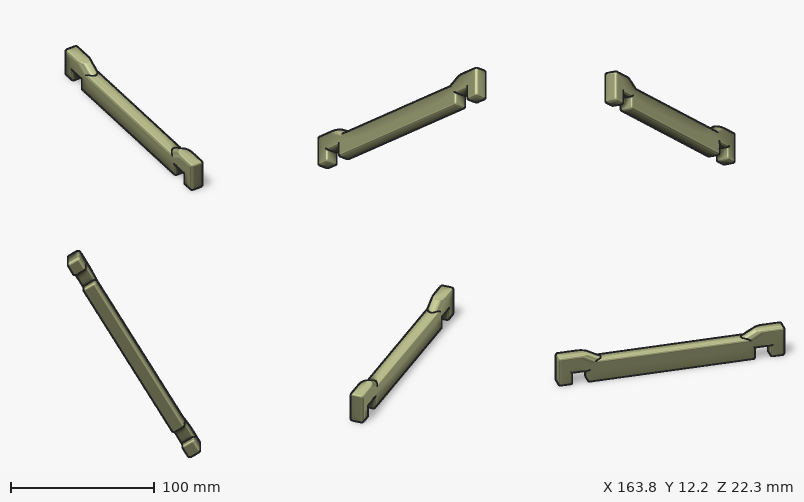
import cadquery as cq
import math

overall_length = 163.8
width = 10.2
height = 22.3
tilt = 0.7

grip_height = 16.9
edge_radius = 2.0

left_crest_length = 22.1
right_crest_length = 20.8
ramp_angle = 29.0

leg_length = 10.2
notch_length = 11.3
notch_depth = 9.2
notch_radius = 1.3

tilt_angle = math.radians(tilt)
flat_span = overall_length - 2 * edge_radius
flat_width = width - 2 * edge_radius
length = 2 * edge_radius + (flat_span - flat_width * math.sin(tilt_angle)) / math.cos(tilt_angle)
half_length = length / 2
tolerance = 0.02


def ramp_envelope(crest_length):
    """Half-round topped prism sloping down toward +X over the left end."""
    radius = width / 2
    depth = 2 * height
    angle = math.radians(ramp_angle)
    crest = cq.Vector(-half_length + crest_length, 0, height)
    plane = cq.Plane(
        origin=crest,
        xDir=(0, 1, 0),
        normal=(math.cos(angle), 0, -math.sin(angle)),
    )
    return (
        cq.Workplane(plane)
        .moveTo(-radius, -radius)
        .threePointArc((0, 0), (radius, -radius))
        .lineTo(radius, -depth)
        .lineTo(-radius, -depth)
        .close()
        .extrude(half_length, both=True)
    )


def raised_end(crest_length):
    """Left end: block cut off by the sloping half-round, then rounded all round the outside."""
    block_length = crest_length + height
    block = (
        cq.Workplane("XY")
        .box(block_length, width, height, centered=(False, True, False))
        .translate((-half_length, 0, 0))
    )
    end = block.intersect(ramp_envelope(crest_length))
    return end.faces("<X or >Z or <Z").edges().edges("not >X").fillet(edge_radius)


def grip():
    """Straight bar whose ends lie inside the raised ends."""
    return (
        cq.Workplane("XY")
        .box(length - 2 * leg_length, width, grip_height, centered=(True, True, False))
        .edges("|X")
        .fillet(edge_radius)
    )


def notch(side):
    """Cutter for the notch at the left (-1) or right (+1) end."""
    centre = side * (half_length - leg_length - notch_length / 2)
    return (
        cq.Workplane("XY")
        .center(centre, 0)
        .box(notch_length, 2 * width, 2 * notch_depth)
    )


def round_notch_rims(body):
    """Round the notch rims, following each wall around its leg's underside."""
    inner = half_length - leg_length - notch_length
    outer = half_length - leg_length
    rims = []
    for edge in body.edges().vals():
        box = edge.BoundingBox()
        in_notch = min(abs(box.xmin), abs(box.xmax)) > inner - tolerance
        in_notch = in_notch and max(abs(box.xmin), abs(box.xmax)) < outer + tolerance
        across = box.ymax - box.ymin > width / 2
        roof_corner = across and box.zmin > notch_depth - tolerance
        if in_notch and box.zmax < notch_depth + tolerance and not roof_corner:
            rims.append(edge)
    return body.newObject(rims).fillet(notch_radius)


left_end = raised_end(left_crest_length)
right_end = raised_end(right_crest_length).mirror("YZ")
handle = grip().union(left_end).union(right_end)
for side in (-1, 1):
    handle = handle.cut(notch(side))
handle = round_notch_rims(handle)
result = handle.rotate((0, 0, 0), (0, 0, 1), tilt)